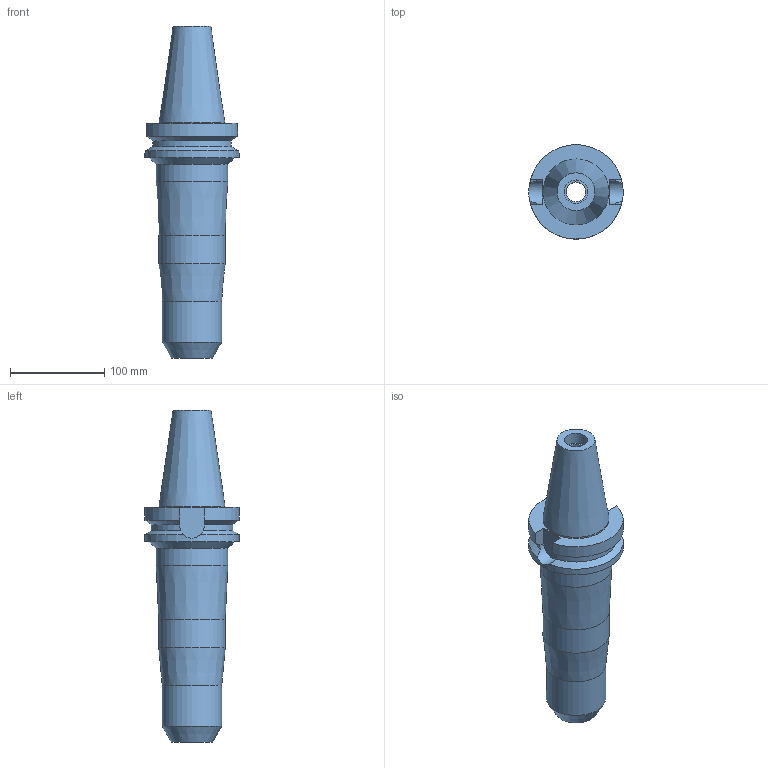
import cadquery as cq


gauge_diameter = 69.85
taper_length = 101.8
taper_ratio = 7 / 24
taper_tip_diameter = gauge_diameter - taper_ratio * taper_length

flange_diameter = 100.0
flange_face_z = -1.5
flange_bottom_z = -38.0
groove_diameter = 86.6
groove_top_z = -15.0
groove_floor_top_z = -19.7
groove_floor_bottom_z = -26.0
groove_bottom_z = -30.5
neck_cone_diameter = 89.5

collar_diameter = 76.0
collar_top_z = flange_bottom_z - (neck_cone_diameter - collar_diameter) / 2
collar_bottom_z = -62.5
middle_diameter = 70.5
middle_top_z = -120.0
middle_bottom_z = -150.0
nose_diameter = 63.0
nose_top_z = -190.0
nose_bottom_z = -233.5
end_diameter = 44.0
end_z = -250.0

slot_width = 25.7
slot_floor_distance = 35.4
slot_bottom_z = -34.0

bore_diameter = 21.0
counterbore_diameter = 25.0
counterbore_depth = 13.0


def revolved_body():
    """Outer shape, turned about Z from (diameter, height) pairs listed top to bottom."""
    steps = [
        (taper_tip_diameter, taper_length),
        (gauge_diameter, 0),
        (gauge_diameter, flange_face_z),
        (flange_diameter, flange_face_z),
        (flange_diameter, groove_top_z),
        (groove_diameter, groove_floor_top_z),
        (groove_diameter, groove_floor_bottom_z),
        (flange_diameter, groove_bottom_z),
        (flange_diameter, flange_bottom_z),
        (neck_cone_diameter, flange_bottom_z),
        (collar_diameter, collar_top_z),
        (collar_diameter, collar_bottom_z),
        (middle_diameter, middle_top_z),
        (middle_diameter, middle_bottom_z),
        (nose_diameter, nose_top_z),
        (nose_diameter, nose_bottom_z),
        (end_diameter, end_z),
    ]
    outline = [(diameter / 2, z) for diameter, z in steps]
    profile = cq.Workplane("YZ").polyline([(0, taper_length), *outline, (0, end_z)]).close()
    return profile.revolve(360, (0, 0), (0, 1))


def drive_slot(side):
    """Cutter for the round-bottomed slot on the +X (side = 1) or -X (side = -1) side."""
    half_width = slot_width / 2
    arc_center_z = slot_bottom_z + half_width
    slot_depth = flange_diameter / 2 - slot_floor_distance
    return (
        cq.Workplane("YZ", origin=(side * slot_floor_distance, 0, 0))
        .moveTo(-half_width, flange_face_z)
        .lineTo(-half_width, arc_center_z)
        .threePointArc((0, slot_bottom_z), (half_width, arc_center_z))
        .lineTo(half_width, flange_face_z)
        .close()
        .extrude(side * slot_depth)
    )


def axial_bore():
    """Cutter for the through bore and the counterbore at the taper tip."""
    bore = cq.Workplane("XY", origin=(0, 0, end_z)).circle(bore_diameter / 2).extrude(taper_length - end_z)
    counterbore = (
        cq.Workplane("XY", origin=(0, 0, taper_length))
        .circle(counterbore_diameter / 2)
        .extrude(-counterbore_depth)
    )
    return bore.union(counterbore)


result = revolved_body().cut(axial_bore())
for side in (-1, 1):
    result = result.cut(drive_slot(side))